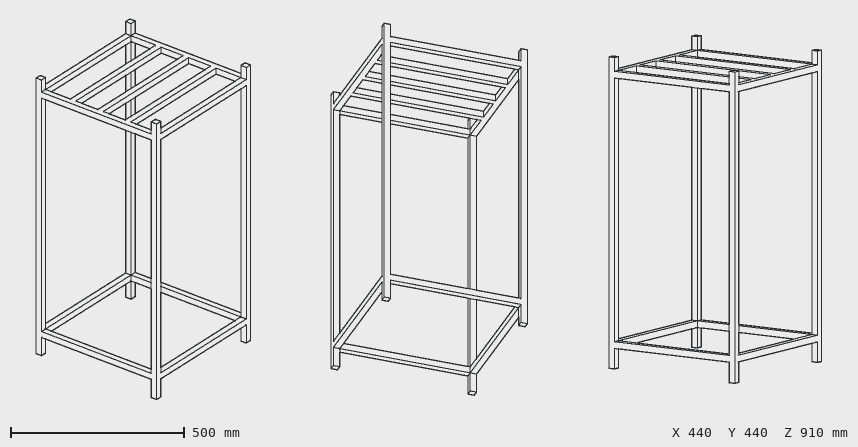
import cadquery as cq

frame_width = 440.0
frame_depth = 440.0
frame_height = 910.0
bar = 20.0

foot_length = 60.0
post_extension = 40.0
lower_rail_z = foot_length + bar / 2
upper_rail_z = frame_height - post_extension - bar / 2

post_pitch_x = frame_width - bar
post_pitch_y = frame_depth - bar
rail_span_x = post_pitch_x - bar
rail_span_y = post_pitch_y - bar

slat_pitch = 100.0
slat_xs = (-slat_pitch, 0.0, slat_pitch)

post_xs = (-post_pitch_x / 2, post_pitch_x / 2)
post_ys = (-post_pitch_y / 2, post_pitch_y / 2)


def bar_along_x(y, z):
    return cq.Workplane("XY").box(rail_span_x, bar, bar).translate((0, y, z))


def bar_along_y(x, z):
    return cq.Workplane("XY").box(bar, rail_span_y, bar).translate((x, 0, z))


def post(x, y):
    return cq.Workplane("XY").box(bar, bar, frame_height).translate((x, y, frame_height / 2))


members = [post(x, y) for x in post_xs for y in post_ys]

for rail_z in (lower_rail_z, upper_rail_z):
    members += [bar_along_x(y, rail_z) for y in post_ys]
    members += [bar_along_y(x, rail_z) for x in post_xs]

members += [bar_along_y(x, upper_rail_z) for x in slat_xs]

result = members[0]
for member in members[1:]:
    result = result.union(member)